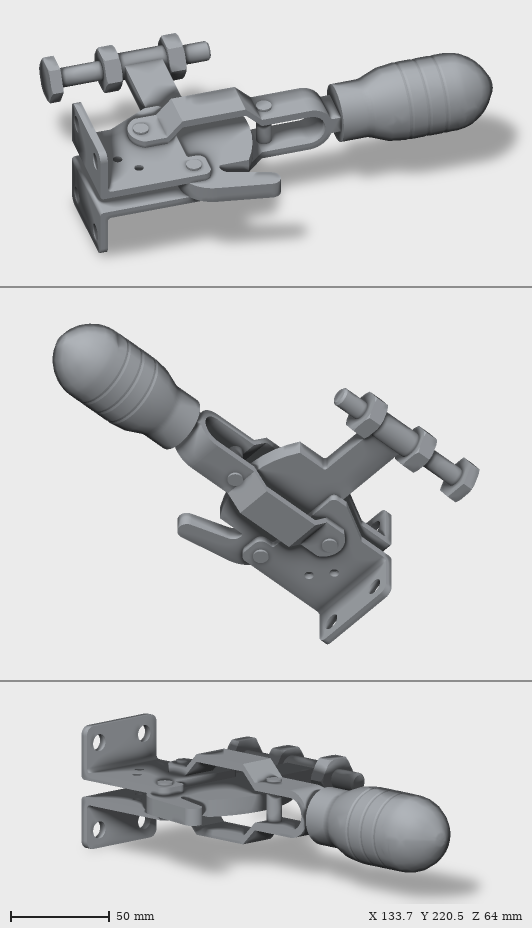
import cadquery as cq
import math


ARM_HALF = 4.5
SHEET = 4.0
PLATE_OUTER = ARM_HALF + SHEET
FORK_OUTER = PLATE_OUTER + SHEET

PIN_RADIUS = 4.0
PIN_HEAD = 1.3
HANDLE_PIVOT = (0, 33.7)
SPACER_PIN = (0, 99.2)
ARM_PIVOT = (31.8, 52.3)

BASE_LEFT = -10.0
BASE_RIGHT = 40.0
BASE_TOP = 51.2
NOSE_LEFT = -21.8
NOSE_BOTTOM = 42.1
NOSE_ROOT = 20.7
NOSE_FILLET = 2.9
LUG_LEFT = 2 * ARM_PIVOT[0] - BASE_RIGHT
LUG_TOP = 60.0
LUG_FILLET = 4.5
LUG_ROOT_FILLET = 1.3
PLATE_HOLES = [(15.0, 16.8), (25.0, 25.1)]
PLATE_HOLE_RADIUS = 2.5
FOOT_HALF_SPAN = 32.0
FOOT_FILLET = 4.5
BEND_RADIUS = 2.0
FOOT_HOLE_X = 16.0
FOOT_HOLE_Z = 22.7
FOOT_HOLE_RADIUS = 4.5

BOLT_X = -69.0
BAR_BOTTOM = 44.5
BAR_TOP = 64.5
HUMP_HALF = 30.0
HUMP_RADIUS = 56.9
HUMP_FILLET = 1.5
SLOT_FLOOR = 66.0
SLOT_FILLET = 5.7
HEEL_RADIUS = 18.0
TAIL_RADIUS = 4.9
TAIL_CENTRE = (47.8, 88.6)
TAIL_INNER_TILT = 17

BOLT_RADIUS = 5.0
BOLT_TIP = 90.8
BOLT_CHAMFER = 1.0
SLEEVE_RADIUS = 7.0
HEX_FLATS = 20.7
HEX_CHAMFER_RADIUS = 10.8
HEX_CHAMFER = 0.7
HEAD_BOTTOM = 4.0
HEAD_HEIGHT = 6.2
NUT_HEIGHT = 8.5
LOWER_NUT_BOTTOM = 33.3
UPPER_NUT_BOTTOM = 67.2

FORK_HALF_WIDTH = 10.0
FORK_END = 27.1
FORK_END_SIDE = 33.0
BULGE_RISE = 8.5
LOWER_SLOPE_RUN = 8.2
BULGE_BOTTOM = 53.0
BULGE_TOP = 86.7
CROWN_Y = 120.5
STEM_HALF = 4.5
STEM_FILLET = 1.0

GRIP_BOTTOM = 137.4
GRIP_TOP = 220.5
COLLAR_RADIUS = 15.0
COLLAR_TOP = 149.7
GRIP_RADIUS = 20.0
SHOULDER_RADIUS = 35.3
NECK_TOP = 154.5
DOME_POINTS = [(18.7, 205.3), (15.7, 210.8), (10.1, 216.3), (5.3, 219.2)]
GROOVE_CENTRES = [172.5, 182.0, 191.4]
GROOVE_HALF = 1.3
GROOVE_DEPTH = 0.33
SHOULDER_START = GROOVE_CENTRES[0] - GROOVE_HALF
DOME_START = GROOVE_CENTRES[-1] + GROOVE_HALF


def on_circle(centre, radius, degrees):
    angle = math.radians(degrees)
    return (centre[0] + radius * math.cos(angle), centre[1] + radius * math.sin(angle))


def both_sides(body):
    return body.union(body.mirror("XY"))


def pin(centre, half_length):
    return cq.Workplane("XY").center(*centre).circle(PIN_RADIUS).extrude(half_length, both=True)


def base_plate():
    outline = [
        (BASE_LEFT, 0),
        (BASE_RIGHT, 0),
        (BASE_RIGHT, LUG_TOP),
        (LUG_LEFT, LUG_TOP),
        (LUG_LEFT, BASE_TOP),
        (NOSE_LEFT, BASE_TOP),
        (NOSE_LEFT, NOSE_BOTTOM),
        (BASE_LEFT, NOSE_ROOT),
    ]
    corner_fillets = [
        ((BASE_RIGHT, LUG_TOP), LUG_FILLET),
        ((LUG_LEFT, LUG_TOP), LUG_FILLET),
        ((LUG_LEFT, BASE_TOP), LUG_ROOT_FILLET),
        ((NOSE_LEFT, BASE_TOP), NOSE_FILLET),
    ]
    plate = cq.Workplane("XY").workplane(offset=ARM_HALF).polyline(outline).close().extrude(SHEET)
    for (x, y), radius in corner_fillets:
        corner = cq.selectors.NearestToPointSelector((x, y, ARM_HALF + SHEET / 2))
        plate = plate.edges("|Z").edges(corner).fillet(radius)
    holes = (
        cq.Workplane("XY").pushPoints(PLATE_HOLES).circle(PLATE_HOLE_RADIUS).extrude(PLATE_OUTER)
    )
    return plate.cut(holes)


def foot():
    width = BASE_RIGHT - BASE_LEFT
    middle = (BASE_LEFT + BASE_RIGHT) / 2
    flange = (
        cq.Workplane("XY")
        .box(width, SHEET, FOOT_HALF_SPAN - ARM_HALF, centered=(True, False, False))
        .edges("|Y and >Z")
        .fillet(FOOT_FILLET)
    )
    hole_places = [(side * FOOT_HOLE_X, FOOT_HOLE_Z - ARM_HALF) for side in (-1, 1)]
    holes = (
        cq.Workplane("XZ").pushPoints(hole_places).circle(FOOT_HOLE_RADIUS).extrude(-SHEET)
    )
    return flange.cut(holes).translate((middle, 0, ARM_HALF))


def base():
    side = base_plate().union(foot())
    bend_middle = (BASE_LEFT + BASE_RIGHT) / 2
    outer_bend = cq.selectors.NearestToPointSelector((bend_middle, 0, ARM_HALF))
    inner_bend = cq.selectors.NearestToPointSelector((bend_middle, SHEET, PLATE_OUTER))
    side = side.edges("|X").edges(outer_bend).fillet(BEND_RADIUS)
    side = side.edges("|X").edges(inner_bend).fillet(BEND_RADIUS)
    return both_sides(side)


def clamping_arm():
    heel_centre = (HUMP_HALF, BAR_BOTTOM + HEEL_RADIUS)
    run = TAIL_CENTRE[0] - heel_centre[0]
    rise = TAIL_CENTRE[1] - heel_centre[1]
    radius_change = HEEL_RADIUS - TAIL_RADIUS
    outer = math.degrees(
        math.atan2(rise, run) + math.asin(radius_change / math.hypot(run, rise))
    ) - 90
    inner = 180 - TAIL_INNER_TILT
    tail_inner = on_circle(TAIL_CENTRE, TAIL_RADIUS, inner)
    tilt = math.tan(math.radians(TAIL_INNER_TILT))
    slot_corner = (tail_inner[0] - (tail_inner[1] - SLOT_FLOOR) * tilt, SLOT_FLOOR)
    hump_side = HANDLE_PIVOT[1] + math.sqrt(HUMP_RADIUS**2 - HUMP_HALF**2)

    arm = (
        cq.Workplane("XY")
        .moveTo(BOLT_X, BAR_BOTTOM)
        .lineTo(*on_circle(heel_centre, HEEL_RADIUS, -90))
        .threePointArc(
            on_circle(heel_centre, HEEL_RADIUS, (outer - 90) / 2),
            on_circle(heel_centre, HEEL_RADIUS, outer),
        )
        .lineTo(*on_circle(TAIL_CENTRE, TAIL_RADIUS, outer))
        .threePointArc(on_circle(TAIL_CENTRE, TAIL_RADIUS, (outer + inner) / 2), tail_inner)
        .lineTo(*slot_corner)
        .lineTo(HUMP_HALF, SLOT_FLOOR)
        .lineTo(HUMP_HALF, hump_side)
        .threePointArc((0, HANDLE_PIVOT[1] + HUMP_RADIUS), (-HUMP_HALF, hump_side))
        .lineTo(-HUMP_HALF, BAR_TOP)
        .lineTo(BOLT_X, BAR_TOP)
        .close()
        .extrude(ARM_HALF, both=True)
    )
    corner_fillets = [
        ((-HUMP_HALF, BAR_TOP), HUMP_FILLET),
        ((HUMP_HALF, SLOT_FLOOR), HUMP_FILLET),
        (slot_corner, SLOT_FILLET),
    ]
    for (x, y), radius in corner_fillets:
        corner = cq.selectors.NearestToPointSelector((x, y, 0))
        arm = arm.edges("|Z").edges(corner).fillet(radius)
    return arm


def bolt_rod(radius, bottom, top):
    return (
        cq.Workplane("XZ", origin=(BOLT_X, bottom, 0)).circle(radius).extrude(bottom - top)
    )


def hexagon(bottom, height, chamfered_ends):
    across_corners = HEX_FLATS / math.cos(math.radians(30))
    corner_radius = across_corners / 2
    prism = (
        cq.Workplane("XZ", origin=(BOLT_X, bottom, 0))
        .polygon(6, across_corners)
        .extrude(-height)
    )
    turned = (
        bolt_rod(corner_radius, bottom, bottom + height)
        .faces(chamfered_ends)
        .edges()
        .chamfer(HEX_CHAMFER, corner_radius - HEX_CHAMFER_RADIUS)
    )
    return prism.intersect(turned)


def clamping_bolt():
    shank = bolt_rod(BOLT_RADIUS, HEAD_BOTTOM, BOLT_TIP).faces(">Y").chamfer(BOLT_CHAMFER)
    bolt = shank.union(hexagon(HEAD_BOTTOM, HEAD_HEIGHT, "<Y"))
    for nut_bottom in (LOWER_NUT_BOTTOM, UPPER_NUT_BOTTOM):
        bolt = bolt.union(hexagon(nut_bottom, NUT_HEIGHT, "<Y or >Y"))
    return bolt.union(bolt_rod(SLEEVE_RADIUS, LOWER_NUT_BOTTOM + NUT_HEIGHT, UPPER_NUT_BOTTOM))


def handle_fork():
    bends = [
        (FORK_END, 0),
        (BULGE_BOTTOM - LOWER_SLOPE_RUN, 0),
        (BULGE_BOTTOM, BULGE_RISE),
        (BULGE_TOP, BULGE_RISE),
        (BULGE_TOP + BULGE_RISE, 0),
        (CROWN_Y, 0),
    ]
    outer_side = [(y, FORK_OUTER + rise) for y, rise in bends]
    inner_side = [(y, PLATE_OUTER + rise) for y, rise in reversed(bends)]
    width = FORK_HALF_WIDTH
    leg = (
        cq.Workplane("YZ").polyline(outer_side + inner_side).close().extrude(width, both=True)
    )
    legs = both_sides(leg)

    crown = (
        cq.Workplane("YZ")
        .moveTo(CROWN_Y, FORK_OUTER)
        .threePointArc((CROWN_Y + FORK_OUTER, 0), (CROWN_Y, -FORK_OUTER))
        .lineTo(CROWN_Y, -PLATE_OUTER)
        .threePointArc((CROWN_Y + PLATE_OUTER, 0), (CROWN_Y, PLATE_OUTER))
        .close()
        .extrude(width, both=True)
    )
    stem_start = CROWN_Y + (PLATE_OUTER + FORK_OUTER) / 2
    stem = cq.Workplane("XY").box(
        2 * width, GRIP_BOTTOM - stem_start, 2 * STEM_HALF, centered=(True, False, True)
    ).translate((0, stem_start, 0))

    half_depth = FORK_OUTER + BULGE_RISE
    rounded_blank = (
        cq.Workplane("XY")
        .moveTo(-width, FORK_END_SIDE)
        .threePointArc((0, FORK_END), (width, FORK_END_SIDE))
        .lineTo(width, GRIP_BOTTOM)
        .lineTo(-width, GRIP_BOTTOM)
        .close()
        .extrude(half_depth, both=True)
    )
    fork = legs.union(crown).union(stem).intersect(rounded_blank)
    joint_y = CROWN_Y + math.sqrt(FORK_OUTER**2 - STEM_HALF**2)
    for joint_z in (-STEM_HALF, STEM_HALF):
        joint = cq.selectors.NearestToPointSelector((0, joint_y, joint_z))
        fork = fork.edges("|X").edges(joint).fillet(STEM_FILLET)
    return fork


def grip():
    shoulder_centre = (GRIP_RADIUS - SHOULDER_RADIUS, SHOULDER_START)
    shoulder = math.degrees(math.asin((SHOULDER_START - NECK_TOP) / SHOULDER_RADIUS))
    neck_joint = on_circle(shoulder_centre, SHOULDER_RADIUS, -shoulder)
    neck_bulge = 0.5 * math.tan(math.radians(shoulder / 4))
    neck_middle = (
        (COLLAR_RADIUS + neck_joint[0]) / 2 - neck_bulge * (NECK_TOP - COLLAR_TOP),
        (COLLAR_TOP + NECK_TOP) / 2 + neck_bulge * (neck_joint[0] - COLLAR_RADIUS),
    )

    body = (
        cq.Workplane("XY")
        .moveTo(0, GRIP_BOTTOM)
        .lineTo(COLLAR_RADIUS, GRIP_BOTTOM)
        .lineTo(COLLAR_RADIUS, COLLAR_TOP)
        .threePointArc(neck_middle, neck_joint)
        .threePointArc(
            on_circle(shoulder_centre, SHOULDER_RADIUS, -shoulder / 2),
            (GRIP_RADIUS, SHOULDER_START),
        )
        .lineTo(GRIP_RADIUS, DOME_START)
        .spline(
            DOME_POINTS + [(0, GRIP_TOP)], tangents=[(0, 1), (-1, 0)], includeCurrent=True
        )
        .close()
        .revolve(360, (0, 0, 0), (0, 1, 0))
    )
    for centre in GROOVE_CENTRES:
        groove = (
            cq.Workplane("XY")
            .polyline([
                (GRIP_RADIUS, centre - GROOVE_HALF),
                (GRIP_RADIUS - GROOVE_DEPTH, centre),
                (GRIP_RADIUS, centre + GROOVE_HALF),
            ])
            .close()
            .revolve(360, (0, 0, 0), (0, 1, 0))
        )
        body = body.cut(groove)
    return body


result = (
    base()
    .union(clamping_arm())
    .union(clamping_bolt())
    .union(handle_fork())
    .union(grip())
    .union(pin(ARM_PIVOT, PLATE_OUTER + PIN_HEAD))
    .union(pin(HANDLE_PIVOT, FORK_OUTER + PIN_HEAD))
    .union(pin(SPACER_PIN, FORK_OUTER + PIN_HEAD))
)